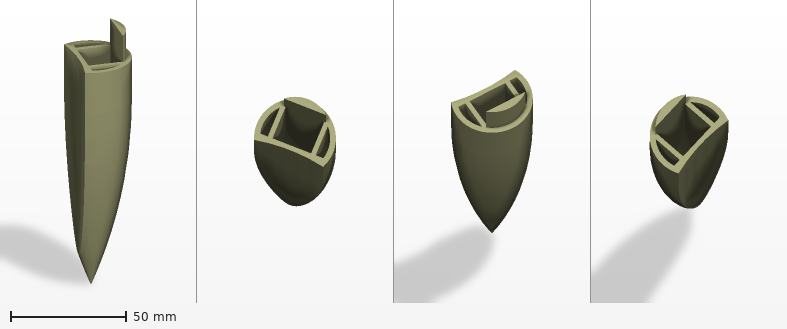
import cadquery as cq
import math

total_height = 120.6
body_height = 108.1
ogive_height = 88.9
outer_diameter = 35.6
outer_radius = outer_diameter / 2
body_depth = 25.2
wall = 2.5

front_middle_y = -5.8
front_corner_y = outer_radius - body_depth

cavity_front_y = -3.7
rib_inner_x = 9.0
rib_thickness = 2.2

tab_flat_y = 11.6

inner_radius = outer_radius - wall
ogive_radius = (outer_radius**2 + ogive_height**2) / (2 * outer_radius)


def bullet(offset):
    """Pointed solid of revolution, its wall set inward by offset."""
    radius = outer_radius - offset
    arc_radius = ogive_radius - offset
    arc_center_x = outer_radius - ogive_radius
    tip_z = ogive_height - math.sqrt(arc_radius**2 - arc_center_x**2)
    middle_z = (tip_z + ogive_height) / 2
    middle_x = arc_center_x + math.sqrt(arc_radius**2 - (ogive_height - middle_z) ** 2)
    return (
        cq.Workplane("XZ")
        .moveTo(0, tip_z)
        .threePointArc((middle_x, middle_z), (radius, ogive_height))
        .lineTo(radius, body_height)
        .lineTo(0, body_height)
        .close()
        .revolve(360, (0, 0, 0), (0, 1, 0))
    )


def front_cutter():
    """Upright cylinder that hollows the front face."""
    corner_x = math.sqrt(outer_radius**2 - front_corner_y**2)
    sag = front_middle_y - front_corner_y
    radius = (corner_x**2 + sag**2) / (2 * sag)
    return cq.Workplane("XY").center(0, front_middle_y - radius).circle(radius).extrude(body_height)


def block_behind(front_y, bottom_z, top_z):
    """Block covering everything behind the plane Y = front_y."""
    return (
        cq.Workplane("XY", origin=(0, front_y, bottom_z))
        .rect(2 * outer_radius, 2 * outer_radius)
        .extrude(top_z - bottom_z)
        .translate((0, outer_radius, 0))
    )


def cavity():
    """Inner bullet with a flat front and back, split into three cells by the ribs."""
    space = bullet(wall).intersect(block_behind(cavity_front_y, 0, body_height))
    space = space.cut(block_behind(tab_flat_y, 0, body_height))
    for side in (-1, 1):
        rib = (
            cq.Workplane("XY")
            .center(side * (rib_inner_x + rib_thickness / 2), 0)
            .rect(rib_thickness, 2 * outer_radius)
            .extrude(body_height)
        )
        space = space.cut(rib)
    return space


def tab():
    """Circular segment rising from the body top, flush with the flat back of the cavity."""
    rod = cq.Workplane("XY").circle(inner_radius).extrude(total_height)
    return rod.intersect(block_behind(tab_flat_y, body_height, total_height))


result = bullet(0).cut(front_cutter()).cut(cavity()).union(tab())